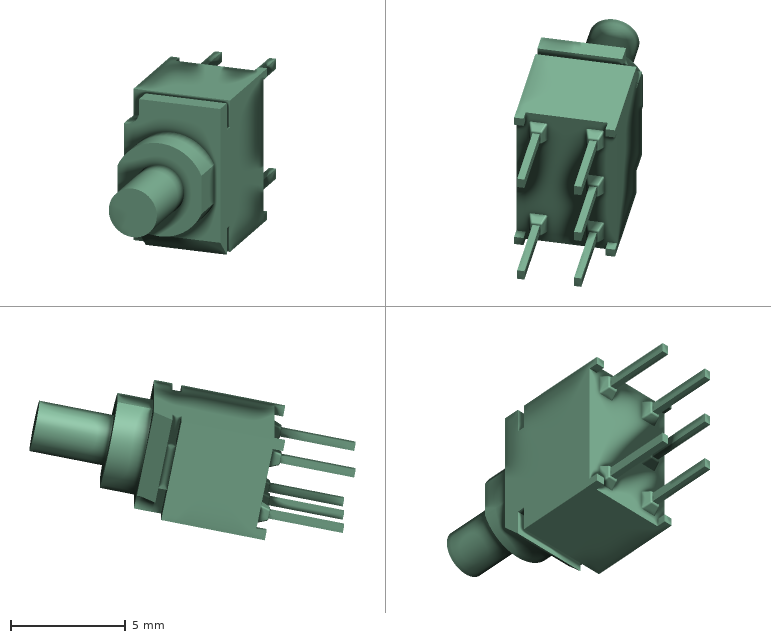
import cadquery as cq

total_length = 14.03
plunger_reach = 4.88

width = 4.5
height = 7.0
back_face = 5.37
foot_length = 0.46
foot_width = 0.42
foot_height = 0.39
foot_end = back_face + foot_length

flange_thickness = 0.81
notch_width = 0.72
notch_radius = 0.6
notch_floor = 2.3

groove_end = 1.22
neck_rib_width = 1.99
neck_rib_half_height = 2.99
neck_half_height = 2.27

bushing_diameter = 4.31
bushing_flat_width = 3.93
bushing_length = 1.57
bore_diameter = 2.3
bore_end = flange_thickness
plunger_diameter = 2.25

pin_width = 0.32
pin_height = 0.46
pin_tip = total_length - plunger_reach
pin_pitch = 2.54
collar_base_width = 0.81
collar_base_height = 0.98
collar_tip_width = 0.49
collar_tip_height = 0.65
collar_edge_radius = 0.08

pin_places = [(-pin_pitch / 2, row * pin_pitch) for row in (-1, 0, 1)]
pin_places += [(pin_pitch / 2, row * pin_pitch) for row in (-1, 1)]


def block(x_size, z_size, y_start, y_end, x=0, z=0):
    """Box centred on (x, z) that runs from y_start to y_end."""
    box = cq.Workplane("XY").box(x_size, y_end - y_start, z_size)
    return box.translate((x, (y_start + y_end) / 2, z))


def rod(diameter, y_start, y_end):
    """Cylinder on the plunger axis from y_start to y_end."""
    return cq.Workplane("XZ", origin=(0, y_end, 0)).circle(diameter / 2).extrude(y_end - y_start)


def make_feet():
    """Four small corner feet behind the block."""
    foot_x = (width - foot_width) / 2
    foot_z = (height - foot_height) / 2
    feet = cq.Workplane("XY")
    for side_x in (-1, 1):
        for side_z in (-1, 1):
            foot = block(foot_width, foot_height, back_face, foot_end, side_x * foot_x, side_z * foot_z)
            feet = feet.add(foot)
    return feet.combine()


def make_groove():
    """Ring-shaped cutter around the stepped neck behind the flange."""
    ring = block(width, height, flange_thickness, groove_end)
    neck_sides = block(width, 2 * neck_half_height, flange_thickness, groove_end)
    neck_rib = block(neck_rib_width, 2 * neck_rib_half_height, flange_thickness, groove_end)
    return ring.cut(neck_sides).cut(neck_rib)


def make_corner_notch():
    """Cutter for the upper -X corner of the flange, with a rounded inner corner."""
    notch_height = height / 2 - notch_floor
    notch = block(
        notch_width,
        notch_height,
        0,
        flange_thickness,
        (notch_width - width) / 2,
        notch_floor + notch_height / 2,
    )
    return notch.edges("|Y and >X and <Z").fillet(notch_radius)


def make_flange_slope():
    """Wedge cutter that slopes the lower front edge of the flange at 45 degrees."""
    profile = cq.Workplane("YZ", origin=(-width / 2, 0, 0)).polyline(
        [
            (0, -height / 2),
            (flange_thickness, -height / 2),
            (0, flange_thickness - height / 2),
        ]
    )
    return profile.close().extrude(width)


def make_bushing():
    """Round bushing with a flat on each X side."""
    flats = block(bushing_flat_width, bushing_diameter, -bushing_length, 0)
    return rod(bushing_diameter, -bushing_length, 0).intersect(flats)


def make_collar(x, z):
    """Tapered collar on the back face, rounded on all edges except its base."""
    taper = (
        cq.Workplane("XZ", origin=(x, back_face, z))
        .rect(collar_base_width, collar_base_height)
        .workplane(offset=-foot_length)
        .rect(collar_tip_width, collar_tip_height)
        .loft(ruled=True)
    )
    return taper.edges("not <Y").fillet(collar_edge_radius)


def make_housing():
    """Block, flange and bushing in one, with a bore for the plunger and a hole for each pin."""
    body = block(width, height, 0, back_face).union(make_feet()).union(make_bushing())
    notch = make_corner_notch()
    body = body.cut(make_groove()).cut(make_flange_slope())
    body = body.cut(notch).cut(notch.mirror("XY"))
    body = body.cut(rod(bore_diameter, -bushing_length, bore_end))
    for x, z in pin_places:
        body = body.union(make_collar(x, z)).cut(make_pin(x, z))
    return body


def make_plunger():
    """Plunger that stands on the bottom of the bore."""
    return rod(plunger_diameter, -plunger_reach, bore_end)


def make_pin(x, z):
    """Terminal pin from the back face of the block, through its collar, to the pin tips."""
    return block(pin_width, pin_height, back_face, pin_tip, x, z)


housing = make_housing()
plunger = make_plunger()
pins = [make_pin(x, z) for x, z in pin_places]

result = cq.Compound.makeCompound([housing.val(), plunger.val(), *[pin.val() for pin in pins]])